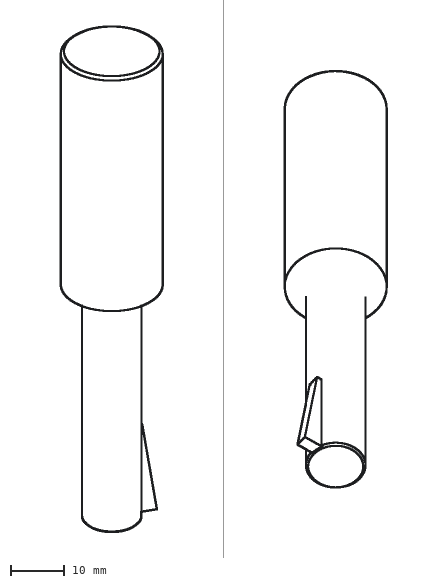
import cadquery as cq

total_length = 101.6
head_diameter = 19.0
head_length = 50.8
head_chamfer = 0.6

neck_diameter = 11.1
neck_length = total_length - head_length
neck_fillet = 3.1
tip_chamfer = 0.4

blade_height = 18.9
blade_bottom = 0.2
blade_bottom_reach = 8.8
blade_top_reach = 6.0
blade_thickness = 2.3


def make_body():
    """Neck and head turned from one profile, with a concave fillet between them."""
    neck_radius = neck_diameter / 2
    head_radius = head_diameter / 2
    fillet_start = (neck_radius, neck_length - neck_fillet)
    fillet_end = (neck_radius + neck_fillet, neck_length)
    profile = (
        cq.Workplane("XZ")
        .lineTo(neck_radius - tip_chamfer, 0)
        .lineTo(neck_radius, tip_chamfer)
        .lineTo(*fillet_start)
        .radiusArc(fillet_end, neck_fillet)
        .lineTo(head_radius, neck_length)
        .lineTo(head_radius, total_length - head_chamfer)
        .lineTo(head_radius - head_chamfer, total_length)
        .lineTo(0, total_length)
        .close()
    )
    return profile.revolve(360, (0, 0, 0), (0, 1, 0))


def make_blade():
    """Flat plate with its +X face in the axial plane, widening towards the tip."""
    blade_top = blade_bottom + blade_height
    outline = [
        (0, blade_bottom),
        (blade_bottom_reach, blade_bottom),
        (blade_top_reach, blade_top),
        (0, blade_top),
    ]
    plane = cq.Workplane("YZ").workplane(offset=-blade_thickness)
    return plane.polyline(outline).close().extrude(blade_thickness)


result = make_body().union(make_blade())